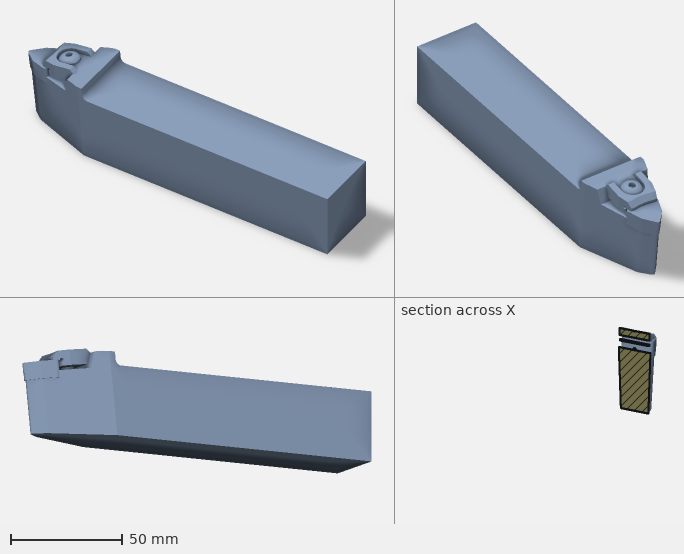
import cadquery as cq
import math

TOTAL_LENGTH = 169.5
SHANK_SIZE = 32.0
HALF_WIDTH = SHANK_SIZE / 2

INSERT_TILT = 6.0
INSERT_DIAMETER = 12.7
INSERT_RADIUS = INSERT_DIAMETER / 2
INSERT_THICKNESS = 4.7
NOSE_RADIUS = 1.2
NOSE_HALF_ANGLE = 40.0
TRIGON_STEP = 60.0
SIDE_HALF_ANGLE = TRIGON_STEP - NOSE_HALF_ANGLE

SHIM_THICKNESS = 3.2
SHIM_NOSE_RADIUS = 1.5
HOLDER_SETBACK = 0.5
FRONT_OVERHANG = 1.7
FLANK_BLEND_RADIUS = 6.0

RIB_TOP_Z = 38.2
RIB_FRONT_X = 32.7
RIB_BACK_X = 38.5
RIB_BACK_LEAN = 5.0
RIB_FILLET = 2.9
WALL_FOOT_X = 27.6
WALL_TOP_X = 29.3

CLAMP_TILT = 8.0
CLAMP_PEAK_Z = 39.7
CLAMP_PEAK_X = 27.6
CLAMP_REAR_X = 29.8
CLAMP_HALF_WIDTH = 9.0
CLAMP_FRONT_X = 11.5
CLAMP_FRONT_HALF_WIDTH = 7.0
CLAMP_TAPER_LENGTH = 7.5
CLAMP_HOLLOW_DEPTH = 0.5
CLAMP_HOLLOW_HALF_WIDTH = 4.7
CLAMP_BEVEL_LENGTH = 2.5
CLAMP_BEVEL_HEIGHT = 2.4
HOOK_CLEARANCE = 0.2
HOOK_DEPTH = 2.7
RELIEF_RADIUS = 0.8

SCREW_TILT = 10.0
SCREW_X = 22.0
CHANNEL_FLOOR_Z = 36.5
CHANNEL_HALF_WIDTH = 5.8
HEAD_DIAMETER = 10.0
HEAD_RIM_HEIGHT = 1.2
HEAD_HEIGHT = 3.0
HEAD_TOP_RADIUS = 2.0
DOME_BULGE = 0.3
SOCKET_DIAMETER = 3.4
SOCKET_DEPTH = 2.4
SCREW_DIAMETER = 6.0
SCREW_END_DEPTH = 1.7


def sine(angle):
    return math.sin(math.radians(angle))


def cosine(angle):
    return math.cos(math.radians(angle))


def tangent(angle):
    return math.tan(math.radians(angle))


def tilted_plane(x, z, angle):
    """Plane on the mid-plane Y = 0, sloping up towards +X by the angle."""
    return cq.Plane(
        origin=(x, 0, z),
        xDir=(cosine(angle), 0, sine(angle)),
        normal=(-sine(angle), 0, cosine(angle)),
    )


insert_plane = tilted_plane(0, SHANK_SIZE, INSERT_TILT)
insert_centre = INSERT_RADIUS / sine(NOSE_HALF_ANGLE) - NOSE_RADIUS * (1 / sine(NOSE_HALF_ANGLE) - 1)
insert_back = insert_centre + INSERT_RADIUS / sine(2 * NOSE_HALF_ANGLE)


def seat_point(along, height):
    """X and Z of a point given along and above the insert's top face."""
    x = along * cosine(INSERT_TILT) - height * sine(INSERT_TILT)
    z = SHANK_SIZE + along * sine(INSERT_TILT) + height * cosine(INSERT_TILT)
    return x, z


def seat_z(x, height):
    """Z above X on a plane parallel to the insert's top face."""
    return SHANK_SIZE + x * tangent(INSERT_TILT) + height / cosine(INSERT_TILT)


def rib_front_z(x):
    """Z on the sloping strip between the pocket's back wall and the rib's flat top."""
    return RIB_TOP_Z - (RIB_FRONT_X - x) * tangent(INSERT_TILT)


def clamp_top_z(x):
    """Z on the clamp's sloping top face."""
    return CLAMP_PEAK_Z - (CLAMP_PEAK_X - x) * tangent(CLAMP_TILT)


def side_profile(points):
    """Solid from an X-Z outline, wide enough to span the whole shank."""
    return cq.Workplane("XZ").polyline(points).close().extrude(HALF_WIDTH, both=True)


def round_corners(solid, corners, height, radius):
    """Fillet the edges square to the insert that pass through the corners at the given height."""
    for x, y in corners:
        edge_point = insert_plane.toWorldCoords((x, y, height))
        solid = solid.edges(cq.NearestToPointSelector(edge_point)).fillet(radius)
    return solid


def trigon_plate(top, thickness, nose_radius, side_radius=0):
    """Trigon plate hanging below the given height; a side radius also rounds the blunt corners."""
    nose_reach = INSERT_RADIUS / sine(NOSE_HALF_ANGLE)
    side_reach = INSERT_RADIUS / sine(2 * NOSE_HALF_ANGLE)
    noses = []
    sides = []
    outline = []
    for nose_angle in (3 * TRIGON_STEP, TRIGON_STEP, -TRIGON_STEP):
        side_angle = nose_angle - TRIGON_STEP
        nose = (insert_centre + nose_reach * cosine(nose_angle), nose_reach * sine(nose_angle))
        side = (insert_centre + side_reach * cosine(side_angle), side_reach * sine(side_angle))
        noses.append(nose)
        sides.append(side)
        outline += [nose, side]
    plate = (
        cq.Workplane(insert_plane).workplane(offset=top)
        .polyline(outline).close().extrude(-thickness)
    )
    middle = top - thickness / 2
    plate = round_corners(plate, noses, middle, nose_radius)
    if side_radius:
        plate = round_corners(plate, sides, middle, side_radius)
    return plate


def make_shank():
    """Bar, rib and tapered front, before the clamp parts are added."""
    wall_foot_z = seat_z(WALL_FOOT_X, -INSERT_THICKNESS)
    rib_back_foot_x = RIB_BACK_X + (RIB_TOP_Z - SHANK_SIZE) * tangent(RIB_BACK_LEAN)
    front = seat_point(-FRONT_OVERHANG, -INSERT_THICKNESS)
    bar = side_profile([
        (front[0], 0), (TOTAL_LENGTH, 0), (TOTAL_LENGTH, SHANK_SIZE), (rib_back_foot_x, SHANK_SIZE),
        (RIB_BACK_X, RIB_TOP_Z), (RIB_FRONT_X, RIB_TOP_Z),
        (WALL_TOP_X, rib_front_z(WALL_TOP_X)), (WALL_FOOT_X, wall_foot_z), front,
    ])
    bar = bar.edges(cq.NearestToPointSelector((rib_back_foot_x, 0, SHANK_SIZE))).fillet(RIB_FILLET)
    return bar.intersect(make_flanks())


def make_flanks():
    """Prism square to the insert that tapers the front of the bar to a nose."""
    radius = INSERT_RADIUS - HOLDER_SETBACK
    side_reach = radius / sine(2 * NOSE_HALF_ANGLE)
    nose = insert_centre - radius / sine(NOSE_HALF_ANGLE)
    bend = (insert_centre - side_reach * cosine(TRIGON_STEP), side_reach * sine(TRIGON_STEP))
    shoulder = bend[0] + (HALF_WIDTH - bend[1]) / tangent(SIDE_HALF_ANGLE)
    depth = 2 * SHANK_SIZE
    far_end = TOTAL_LENGTH + depth
    prism = (
        cq.Workplane(insert_plane).workplane(offset=-depth)
        .polyline([
            (nose, 0), bend, (shoulder, HALF_WIDTH), (far_end, HALF_WIDTH),
            (far_end, -HALF_WIDTH), (shoulder, -HALF_WIDTH), (bend[0], -bend[1]),
        ])
        .close().extrude(2 * depth)
    )
    prism = round_corners(prism, [(nose, 0)], 0, NOSE_RADIUS)
    bends = [bend, (bend[0], -bend[1])]
    return round_corners(prism, bends, 0, FLANK_BLEND_RADIUS)


clamp_front_plane = tilted_plane(CLAMP_FRONT_X, clamp_top_z(CLAMP_FRONT_X), CLAMP_TILT)


def make_clamp_outline():
    """Prism square to the clamp's top: tapered towards a front face that is hollow in the middle."""
    return (
        cq.Workplane(clamp_front_plane)
        .moveTo(0, CLAMP_HOLLOW_HALF_WIDTH)
        .lineTo(0, CLAMP_FRONT_HALF_WIDTH)
        .lineTo(CLAMP_TAPER_LENGTH, CLAMP_HALF_WIDTH)
        .lineTo(RIB_FRONT_X, CLAMP_HALF_WIDTH)
        .lineTo(RIB_FRONT_X, -CLAMP_HALF_WIDTH)
        .lineTo(CLAMP_TAPER_LENGTH, -CLAMP_HALF_WIDTH)
        .lineTo(0, -CLAMP_FRONT_HALF_WIDTH)
        .lineTo(0, -CLAMP_HOLLOW_HALF_WIDTH)
        .threePointArc((CLAMP_HOLLOW_DEPTH, 0), (0, CLAMP_HOLLOW_HALF_WIDTH))
        .close().extrude(SHANK_SIZE, both=True)
    )


def bevel_clamp_front(clamp):
    """Bevel the top of the hollow and of the flat face on each side of it."""
    pad_middle = (CLAMP_HOLLOW_HALF_WIDTH + CLAMP_FRONT_HALF_WIDTH) / 2
    edges = clamp.newObject([])
    for along, across in ((0, -pad_middle), (CLAMP_HOLLOW_DEPTH, 0), (0, pad_middle)):
        edge_point = clamp_front_plane.toWorldCoords((along, across, 0))
        edges = edges.add(clamp.edges(cq.NearestToPointSelector(edge_point)))
    return edges.chamfer(CLAMP_BEVEL_HEIGHT, CLAMP_BEVEL_LENGTH)


def make_clamp():
    """Clamp resting on the insert, hooked down behind it and backed by the rib."""
    hook = insert_back + HOOK_CLEARANCE
    hook_top = seat_point(hook, 0)
    hook_foot = seat_point(hook, -HOOK_DEPTH)
    heel_z = hook_foot[1] + (CLAMP_REAR_X - hook_foot[0]) * tangent(CLAMP_TILT)
    clamp = side_profile([
        hook_top, hook_foot, (CLAMP_REAR_X, heel_z),
        (CLAMP_REAR_X, rib_front_z(CLAMP_REAR_X)), (CLAMP_PEAK_X, CLAMP_PEAK_Z),
        (0, clamp_top_z(0)), (0, seat_z(0, 0)),
    ])
    clamp = bevel_clamp_front(clamp.intersect(make_clamp_outline()))
    relief = (
        cq.Workplane("XZ").center(*hook_top).circle(RELIEF_RADIUS).extrude(HALF_WIDTH, both=True)
    )
    return clamp.cut(relief).cut(make_channel())


screw_plane = tilted_plane(SCREW_X, CHANNEL_FLOOR_Z, SCREW_TILT)


def make_channel():
    """Round-fronted slot above the channel floor, open towards the rib."""
    length = RIB_FRONT_X - SCREW_X
    return (
        cq.Workplane(screw_plane).circle(CHANNEL_HALF_WIDTH).extrude(SHANK_SIZE)
        .union(
            cq.Workplane(screw_plane).center(length / 2, 0)
            .rect(length, 2 * CHANNEL_HALF_WIDTH).extrude(SHANK_SIZE)
        )
    )


def make_screw():
    """Dome-headed screw with a blind socket, running down into the pocket floor."""
    rim_radius = HEAD_DIAMETER / 2
    dome_middle = (
        (rim_radius + HEAD_TOP_RADIUS) / 2 + DOME_BULGE,
        (HEAD_RIM_HEIGHT + HEAD_HEIGHT) / 2 + DOME_BULGE,
    )
    head = (
        cq.Workplane(cq.Plane(
            origin=screw_plane.origin, xDir=screw_plane.xDir, normal=(0, -1, 0)
        ))
        .lineTo(rim_radius, 0)
        .lineTo(rim_radius, HEAD_RIM_HEIGHT)
        .threePointArc(dome_middle, (HEAD_TOP_RADIUS, HEAD_HEIGHT))
        .lineTo(0, HEAD_HEIGHT)
        .close().revolve(360, (0, 0), (0, 1))
    )
    shank_length = CHANNEL_FLOOR_Z - seat_z(SCREW_X, -INSERT_THICKNESS)
    shank = cq.Workplane(screw_plane).circle(SCREW_DIAMETER / 2).extrude(-shank_length - SCREW_END_DEPTH)
    socket = (
        cq.Workplane(screw_plane).workplane(offset=HEAD_HEIGHT - SOCKET_DEPTH)
        .circle(SOCKET_DIAMETER / 2).extrude(SOCKET_DEPTH)
    )
    return head.union(shank).cut(socket)


def make_holder():
    """Shank with its shim, clamp and clamp screw as one solid."""
    shim = trigon_plate(-INSERT_THICKNESS, SHIM_THICKNESS, SHIM_NOSE_RADIUS, FLANK_BLEND_RADIUS)
    return make_shank().union(shim).union(make_clamp()).union(make_screw())


def make_insert():
    return trigon_plate(0, INSERT_THICKNESS, NOSE_RADIUS)


holder = make_holder()
insert = make_insert()
result = cq.Compound.makeCompound([holder.solids().val(), insert.solids().val()])